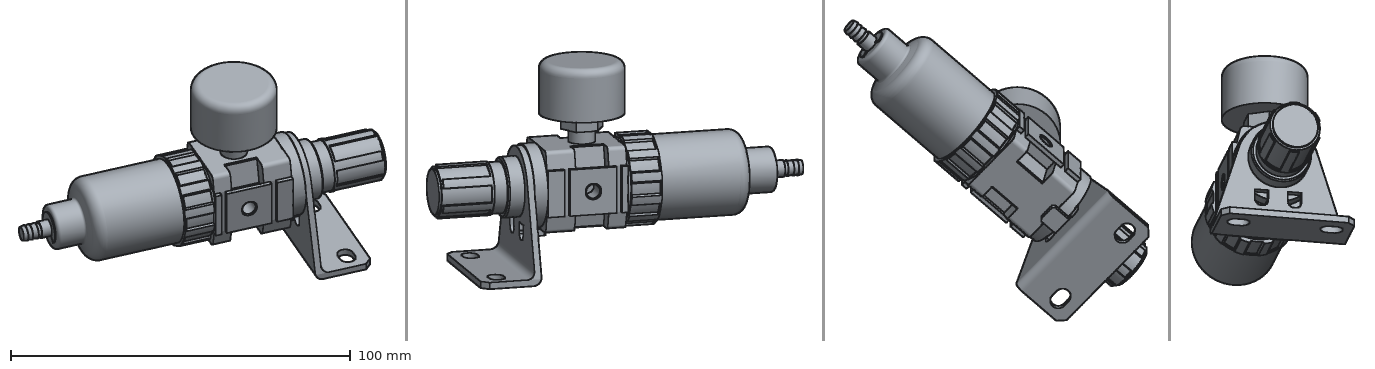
import cadquery as cq
import math


TOTAL_LENGTH = 112.8
TOTAL_HEIGHT = 62.5

KNOB_END = 45.6
KNOB_CAP_LENGTH = 0.7
KNOB_FLANGE_START = 29.7
KNOB_FLANGE_END = 28.9
NECK_END = 24.9
PLATE_BACK = 20.0
PLATE_FRONT = 17.9
BODY_BACK = 13.9
BODY_FRONT = -10.6
RING_BACK = -11.5
RING_FRONT = -20.8
BOWL_EDGE_END = -48.6
BOWL_FRONT = -49.3
NOSE_FRONT = -58.2
BARB_END = KNOB_END - TOTAL_LENGTH

KNOB_CAP_DIAMETER = 13.5
KNOB_DIAMETER = 15.0
KNOB_RIB_DIAMETER = 16.0
KNOB_RIB_COUNT = 6
KNOB_RIB_WIDTH = 2.8
KNOB_RIB_BACK = 44.3
NECK_DIAMETER = 15.3
COLLAR_DIAMETER = 18
COLLAR_CHAMFER = 0.5
BONNET_DIAMETER = 25.0

BODY_HALF_HEIGHT = 12.4
PORT_HALF_HEIGHT = 7.0
PORT_FACE_X = 12.5
BODY_SIDE_X = 11.2
SIDE_SLOPE = 0.23
BODY_EDGE_RADIUS = 1.5
PORT_GROOVE_INNER = 7.1
PORT_GROOVE_WIDTH = 1.7
POCKET_HALF_LENGTH = 5.1
POCKET_FLOOR_Z = 4.7
POCKET_TOP_X = 5.6
POCKET_RIM_BEVEL = 0.3
PORT_DIAMETER = 4.2
PORT_MOUTH_DIAMETER = 4.9
PORT_DEPTH = 6.8

RING_DIAMETER = 27.6
RING_FLOOR_DIAMETER = 26.4
RING_LIP_DIAMETER = 27.3
RING_LIP_LENGTH = 0.5
RING_GROOVE_COUNT = 12
RING_GROOVE_TOP_ANGLE = 18.8
RING_GROOVE_FLOOR_ANGLE = 14.8

BOWL_DIAMETER = 25.4
BOWL_EDGE_RADIUS = 3.0
BOWL_EDGE_LENGTH = 3.7
NOSE_DIAMETER = 13.5
NOSE_ROOT_RADIUS = 0.7
NOSE_EDGE_RADIUS = 1.0
NOSE_PAD_DIAMETER = 9.5
NOSE_PAD_HEIGHT = 0.3
SHANK_DIAMETER = 5.1
BARB_DIAMETER = 4.9
BARB_CORE_DIAMETER = 4.2
SHANK_END = -61.6
BARB_BACKS = (-62.6, -64.4, -65.9)

GAUGE_TOP = 36.9
GAUGE_BOTTOM = 21.0
GAUGE_DIAMETER = 25.4
GAUGE_EDGE_RADIUS = 2.5
HEX_BOTTOM = 16.5
HEX_CORNER_DIAMETER = 13.0
STEM_DIAMETER = 8.0

BRACKET_BOTTOM = GAUGE_TOP - TOTAL_HEIGHT
BRACKET_WIDTH = 40.0
BRACKET_THICKNESS = PLATE_BACK - PLATE_FRONT
BRACKET_TOP_RADIUS = 12.1
BASE_BACK = 36.1
BASE_CORNER = 2.1
BEND_OUTER_RADIUS = 2.6
BEND_INNER_RADIUS = 2.4
SLOT_X = 14.0
SLOT_Y = 30.1
SLOT_LENGTH = 6.7
SLOT_WIDTH = 4.7
TAB_WIDTH = 6.0
TAB_TOP = -12.7
TAB_BOTTOM = -14.8
TAB_FRONT = 11.7
TAB_CHAMFER = 0.7
NOTCH_WIDTH = 4.2
NOTCH_X = 5.0
NOTCH_CENTER_Z = -13.1
NOTCH_TOP = -10.2


def cylinder_y(diameter, start, end):
    """Cylinder around the Y axis between two Y positions."""
    return cq.Workplane("XZ", origin=(0, start, 0)).circle(diameter / 2).extrude(start - end)


def box_between(x, y, z):
    """Box given by its (low, high) limits along each axis."""
    corner = (x[0], y[0], z[0])
    size = (x[1] - x[0], y[1] - y[0], z[1] - z[0])
    return cq.Workplane("XY").box(*size, centered=False).translate(corner)


def make_knob():
    """Adjusting knob with grip ribs."""
    cap_end = KNOB_END - KNOB_CAP_LENGTH
    knob = cylinder_y(KNOB_CAP_DIAMETER, KNOB_END, cap_end)
    knob = knob.union(cylinder_y(KNOB_DIAMETER, cap_end, KNOB_FLANGE_START))
    knob = knob.union(cylinder_y(KNOB_RIB_DIAMETER, KNOB_FLANGE_START, KNOB_FLANGE_END))

    rib_envelope = cylinder_y(KNOB_RIB_DIAMETER, KNOB_RIB_BACK, KNOB_FLANGE_START)
    half_width = KNOB_RIB_WIDTH / 2
    spoke = box_between(
        (-half_width, half_width),
        (KNOB_FLANGE_START, KNOB_RIB_BACK),
        (0, KNOB_RIB_DIAMETER),
    )
    rib = rib_envelope.intersect(spoke)
    for index in range(KNOB_RIB_COUNT):
        turn = 360 / KNOB_RIB_COUNT * index
        knob = knob.union(rib.rotate((0, 0, 0), (0, 1, 0), turn))
    return knob


def make_bonnet():
    """Stepped neck, collar and round shoulder between knob and body."""
    neck = cylinder_y(NECK_DIAMETER, KNOB_FLANGE_END, NECK_END)
    collar = cylinder_y(COLLAR_DIAMETER, NECK_END, PLATE_BACK).faces(">Y").chamfer(COLLAR_CHAMFER)
    return neck.union(collar).union(cylinder_y(BONNET_DIAMETER, PLATE_FRONT, BODY_BACK))


def make_pocket():
    """Recess in the +X, +Z corner of the body, its wall parallel to the sloping side."""
    wall_lean = SIDE_SLOPE * (BODY_HALF_HEIGHT - POCKET_FLOOR_Z)
    outline = [
        (POCKET_TOP_X - POCKET_RIM_BEVEL, BODY_HALF_HEIGHT),
        (POCKET_TOP_X, BODY_HALF_HEIGHT - POCKET_RIM_BEVEL),
        (POCKET_TOP_X + wall_lean, POCKET_FLOOR_Z),
        (BODY_SIDE_X, POCKET_FLOOR_Z),
        (BODY_SIDE_X, BODY_HALF_HEIGHT),
    ]
    sketch = cq.Workplane("XZ", origin=(0, POCKET_HALF_LENGTH, 0)).polyline(outline).close()
    return sketch.extrude(2 * POCKET_HALF_LENGTH)


def make_port():
    """Blind port bored from the +X face, with a chamfered mouth."""
    mouth_chamfer = (PORT_MOUTH_DIAMETER - PORT_DIAMETER) / 2
    bore_bottom = PORT_FACE_X - PORT_DEPTH
    outline = [
        (bore_bottom, 0),
        (bore_bottom, PORT_DIAMETER / 2),
        (PORT_FACE_X - mouth_chamfer, PORT_DIAMETER / 2),
        (PORT_FACE_X, PORT_MOUTH_DIAMETER / 2),
        (PORT_FACE_X, 0),
    ]
    return cq.Workplane("XY").polyline(outline).close().revolve(360, (0, 0, 0), (1, 0, 0))


def make_body():
    """Sloping-sided block with split port plates, corner recesses and two blind ports."""
    top_x = BODY_SIDE_X - SIDE_SLOPE * (BODY_HALF_HEIGHT - PORT_HALF_HEIGHT)
    outline = [
        (BODY_SIDE_X, -PORT_HALF_HEIGHT),
        (BODY_SIDE_X, PORT_HALF_HEIGHT),
        (top_x, BODY_HALF_HEIGHT),
        (-top_x, BODY_HALF_HEIGHT),
        (-BODY_SIDE_X, PORT_HALF_HEIGHT),
        (-BODY_SIDE_X, -PORT_HALF_HEIGHT),
        (-top_x, -BODY_HALF_HEIGHT),
        (top_x, -BODY_HALF_HEIGHT),
    ]
    length = BODY_BACK - BODY_FRONT
    body = cq.Workplane("XZ", origin=(0, BODY_BACK, 0)).polyline(outline).close().extrude(length)
    body = body.faces("<Z or >Z").edges("|Y").fillet(BODY_EDGE_RADIUS)

    pocket = make_pocket()
    for cutter in (pocket, pocket.mirror("XY")):
        body = body.cut(cutter).cut(cutter.mirror("YZ"))

    plates = box_between(
        (BODY_SIDE_X, PORT_FACE_X), (BODY_FRONT, BODY_BACK), (-PORT_HALF_HEIGHT, PORT_HALF_HEIGHT)
    )
    for low in (PORT_GROOVE_INNER, -PORT_GROOVE_INNER - PORT_GROOVE_WIDTH):
        groove = box_between(
            (BODY_SIDE_X, PORT_FACE_X),
            (low, low + PORT_GROOVE_WIDTH),
            (-PORT_HALF_HEIGHT, PORT_HALF_HEIGHT),
        )
        plates = plates.cut(groove)
    body = body.union(plates).union(plates.mirror("YZ"))

    port = make_port()
    body = body.cut(port).cut(port.mirror("YZ"))
    return body.union(cylinder_y(BONNET_DIAMETER, BODY_FRONT, RING_BACK))


def polar(radius, degrees):
    """Point at the given radius and angle."""
    angle = math.radians(degrees)
    return (radius * math.cos(angle), radius * math.sin(angle))


def make_clamp_ring():
    """Ring with shallow grip grooves that stop at a front lip."""
    ring = cylinder_y(RING_DIAMETER, RING_BACK, RING_FRONT)
    floor_radius = RING_FLOOR_DIAMETER / 2
    rim_radius = RING_DIAMETER / 2
    floor_half = RING_GROOVE_FLOOR_ANGLE / 2
    top_half = RING_GROOVE_TOP_ANGLE / 2
    groove = (
        cq.Workplane("XZ", origin=(0, RING_BACK, 0))
        .moveTo(*polar(floor_radius, -floor_half))
        .threePointArc((floor_radius, 0), polar(floor_radius, floor_half))
        .lineTo(*polar(rim_radius, top_half))
        .threePointArc((rim_radius, 0), polar(rim_radius, -top_half))
        .close()
        .extrude(RING_BACK - RING_FRONT)
    )
    for index in range(RING_GROOVE_COUNT):
        turn = 360 / RING_GROOVE_COUNT * index
        ring = ring.cut(groove.rotate((0, 0, 0), (0, 1, 0), turn))
    lip = cylinder_y(RING_LIP_DIAMETER, RING_FRONT + RING_LIP_LENGTH, RING_FRONT)
    return ring.union(lip)


def make_bowl():
    """Bowl with a rounded edge and a shallow conical end, blended into its drain nose."""
    bowl_radius = BOWL_DIAMETER / 2
    cone_radius = bowl_radius - BOWL_EDGE_RADIUS
    edge_start = BOWL_EDGE_END + BOWL_EDGE_LENGTH
    edge_middle = (
        cone_radius + BOWL_EDGE_RADIUS * math.sqrt(0.5),
        edge_start - BOWL_EDGE_LENGTH * math.sqrt(0.5),
    )
    nose_radius = NOSE_DIAMETER / 2
    root_offset = NOSE_ROOT_RADIUS * (1 - math.sqrt(0.5))
    bowl = (
        cq.Workplane("XY")
        .moveTo(0, RING_FRONT)
        .lineTo(bowl_radius, RING_FRONT)
        .lineTo(bowl_radius, edge_start)
        .threePointArc(edge_middle, (cone_radius, BOWL_EDGE_END))
        .lineTo(nose_radius + NOSE_ROOT_RADIUS, BOWL_FRONT)
        .threePointArc(
            (nose_radius + root_offset, BOWL_FRONT - root_offset),
            (nose_radius, BOWL_FRONT - NOSE_ROOT_RADIUS),
        )
        .lineTo(nose_radius, NOSE_FRONT)
        .lineTo(0, NOSE_FRONT)
        .close()
        .revolve(360, (0, 0, 0), (0, 1, 0))
    )
    return bowl.faces("<Y").edges().fillet(NOSE_EDGE_RADIUS)


def make_drain():
    """Raised pad open over its lower quarter, and the hose barb."""
    pad_front = NOSE_FRONT - NOSE_PAD_HEIGHT
    reach = NOSE_PAD_DIAMETER
    opening = (
        cq.Workplane("XZ", origin=(0, NOSE_FRONT, 0))
        .polyline([(0, 0), (reach, -reach), (-reach, -reach)])
        .close()
        .extrude(NOSE_PAD_HEIGHT)
    )
    drain = cylinder_y(NOSE_PAD_DIAMETER, NOSE_FRONT, pad_front).cut(opening)
    drain = drain.union(cylinder_y(SHANK_DIAMETER, NOSE_FRONT, SHANK_END))

    core_radius = BARB_CORE_DIAMETER / 2
    outline = [(0, SHANK_END), (core_radius, SHANK_END)]
    for back in BARB_BACKS:
        outline += [(core_radius, back), (BARB_DIAMETER / 2, back)]
    outline += [(core_radius, BARB_END), (0, BARB_END)]
    barbs = cq.Workplane("XY").polyline(outline).close().revolve(360, (0, 0, 0), (0, 1, 0))
    return drain.union(barbs)


def make_gauge():
    """Pressure gauge case on a hexagon nut and round stem."""
    stem = cq.Workplane("XY").circle(STEM_DIAMETER / 2).extrude(HEX_BOTTOM)
    nut = cq.Workplane("XY", origin=(0, 0, HEX_BOTTOM)).polygon(6, HEX_CORNER_DIAMETER)
    nut = nut.extrude(GAUGE_BOTTOM - HEX_BOTTOM).rotate((0, 0, 0), (0, 0, 1), 90)
    case = cq.Workplane("XY", origin=(0, 0, GAUGE_BOTTOM)).circle(GAUGE_DIAMETER / 2)
    case = case.extrude(GAUGE_TOP - GAUGE_BOTTOM).faces(">Z").edges().fillet(GAUGE_EDGE_RADIUS)
    return stem.union(nut).union(case)


def make_bracket_sheet():
    """L-shaped sheet with a rounded bend, over the full bracket width."""
    base_top = BRACKET_BOTTOM + BRACKET_THICKNESS
    outline = [
        (PLATE_FRONT, BRACKET_BOTTOM),
        (BASE_BACK, BRACKET_BOTTOM),
        (BASE_BACK, base_top),
        (PLATE_BACK, base_top),
        (PLATE_BACK, BRACKET_TOP_RADIUS),
        (PLATE_FRONT, BRACKET_TOP_RADIUS),
    ]
    sheet = cq.Workplane("YZ").polyline(outline).close().extrude(BRACKET_WIDTH / 2, both=True)
    inner_bend = cq.selectors.NearestToPointSelector((0, PLATE_BACK, base_top))
    outer_bend = cq.selectors.NearestToPointSelector((0, PLATE_FRONT, BRACKET_BOTTOM))
    sheet = sheet.edges(inner_bend).fillet(BEND_INNER_RADIUS)
    sheet = sheet.edges(outer_bend).fillet(BEND_OUTER_RADIUS)
    return sheet.faces(">Y").edges("|Z").chamfer(BASE_CORNER)


def make_bracket():
    """Tapered mounting bracket with two slots and a locating tab between two notches."""
    half_width = BRACKET_WIDTH / 2
    taper_start = BRACKET_BOTTOM + BRACKET_THICKNESS
    corner_distance = math.hypot(half_width, taper_start)
    tangent_angle = math.atan2(taper_start, half_width) + math.acos(BRACKET_TOP_RADIUS / corner_distance)
    tangent_x = BRACKET_TOP_RADIUS * math.cos(tangent_angle)
    tangent_z = BRACKET_TOP_RADIUS * math.sin(tangent_angle)
    outline = (
        cq.Workplane("XZ", origin=(0, BASE_BACK, 0))
        .moveTo(-half_width, BRACKET_BOTTOM)
        .lineTo(half_width, BRACKET_BOTTOM)
        .lineTo(half_width, taper_start)
        .lineTo(tangent_x, tangent_z)
        .threePointArc((0, BRACKET_TOP_RADIUS), (-tangent_x, tangent_z))
        .lineTo(-half_width, taper_start)
        .close()
        .extrude(BASE_BACK - PLATE_FRONT)
    )
    bracket = make_bracket_sheet().intersect(outline)

    slots = (
        cq.Workplane("XY", origin=(0, 0, BRACKET_BOTTOM))
        .pushPoints([(-SLOT_X, SLOT_Y), (SLOT_X, SLOT_Y)])
        .slot2D(SLOT_LENGTH, SLOT_WIDTH)
        .extrude(BRACKET_THICKNESS)
    )
    bracket = bracket.cut(slots)

    for x in (-NOTCH_X, NOTCH_X):
        left = x - NOTCH_WIDTH / 2
        right = x + NOTCH_WIDTH / 2
        notch = box_between((left, right), (PLATE_FRONT, PLATE_BACK), (NOTCH_CENTER_Z, NOTCH_TOP))
        notch_end = cylinder_y(NOTCH_WIDTH, PLATE_BACK, PLATE_FRONT).translate((x, 0, NOTCH_CENTER_Z))
        bracket = bracket.cut(notch).cut(notch_end)

    tab = box_between((-TAB_WIDTH / 2, TAB_WIDTH / 2), (TAB_FRONT, PLATE_BACK), (TAB_BOTTOM, TAB_TOP))
    tab = tab.faces("<Y").edges("|Z").chamfer(TAB_CHAMFER)
    return bracket.union(tab)


result = make_body()
for piece in (
    make_bonnet(),
    make_knob(),
    make_bracket(),
    make_clamp_ring(),
    make_bowl(),
    make_drain(),
    make_gauge(),
):
    result = result.union(piece)